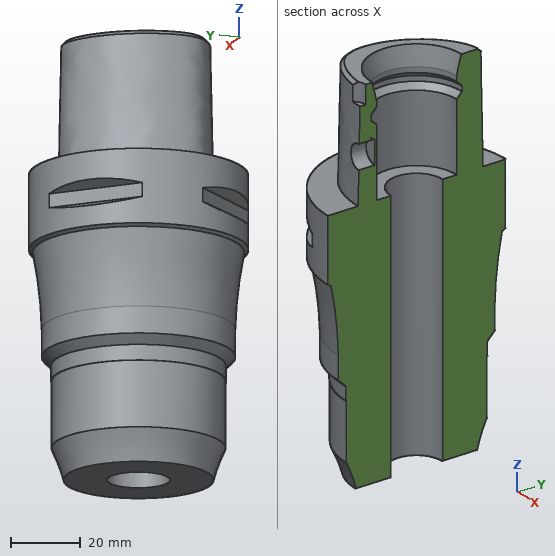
import cadquery as cq
import math

TOTAL_HEIGHT = 128.0
SHANK_HEIGHT = 38.0
NECK_BASE_Z = 44.4
COLLAR_BASE_Z = 36.4
COLLAR_CHAMFER = 2.7
STEP_BASE_Z = 29.0
NOSE_HEIGHT = 9.3
FLANGE_HEIGHT = 22.0
FLANGE_TOP_Z = TOTAL_HEIGHT - SHANK_HEIGHT
FLANGE_BASE_Z = FLANGE_TOP_Z - FLANGE_HEIGHT

FLANGE_RADIUS = 31.5
FLANGE_CHAMFER_WIDTH = 1.2
FLANGE_CHAMFER_HEIGHT = 0.8
COLLAR_RADIUS = 27.8
STEP_RADIUS = COLLAR_RADIUS - COLLAR_CHAMFER
BARREL_RADIUS = 25.0
NOSE_TIP_RADIUS = 21.5
NECK_SAG = 0.5
NOSE_SAG = 0.3

SHANK_RADIUS = 22.1
LOBE_HEIGHT = 1.4
SHANK_TAPER = 1 / 50
TOP_CHAMFER_WIDTH = 1.2
TOP_CHAMFER_HEIGHT = 1.2
OUTLINE_POINTS = 24

MOUTH_RADIUS = 15.7
BORE_RADIUS = 14.1
BORE_DEPTH = SHANK_HEIGHT
THROUGH_RADIUS = 9.1
MOUTH_DEPTH = 6.4
GROOVE_START = 8.3
GROOVE_END = 14.0
GROOVE_DEPTH = 1.9

NOTCH_RADIUS = 4.6
NOTCH_DEEPEST_Y = -18.0
NOTCH_HEIGHT = 6.4
SIDE_HOLE_RADIUS = 4.1
SIDE_HOLE_Z = 105.5
SIDE_HOLE_BOTTOM_Y = -14.8

GRIP_COUNT = 4
GRIP_FLOOR_DISTANCE = 27.8
GRIP_FLOOR_HEIGHT = 4.1
GRIP_Z = 77.8
GRIP_FLANK_ANGLE = 26

CLEARANCE = 6.4


def hollow_arc_middle(lower, upper, sag):
    """Middle point of a rising profile arc that bows towards the axis by the sag."""
    length = math.dist(lower, upper)
    radial = (upper[0] - lower[0]) / length
    axial = (upper[1] - lower[1]) / length
    middle_radius = (lower[0] + upper[0]) / 2
    middle_z = (lower[1] + upper[1]) / 2
    return (middle_radius - sag * axial, middle_z + sag * radial)


def make_body():
    """Revolved flange, hollow-curved neck, collar, barrel and nose."""
    neck_top = (FLANGE_RADIUS - FLANGE_CHAMFER_WIDTH, FLANGE_BASE_Z - FLANGE_CHAMFER_HEIGHT)
    neck_base = (COLLAR_RADIUS, NECK_BASE_Z)
    nose_top = (BARREL_RADIUS, NOSE_HEIGHT)
    nose_tip = (NOSE_TIP_RADIUS, 0)
    return (
        cq.Workplane("XZ")
        .moveTo(0, 0)
        .lineTo(*nose_tip)
        .threePointArc(hollow_arc_middle(nose_tip, nose_top, NOSE_SAG), nose_top)
        .lineTo(BARREL_RADIUS, STEP_BASE_Z)
        .lineTo(STEP_RADIUS, STEP_BASE_Z)
        .lineTo(STEP_RADIUS, COLLAR_BASE_Z - COLLAR_CHAMFER)
        .lineTo(COLLAR_RADIUS, COLLAR_BASE_Z)
        .lineTo(*neck_base)
        .threePointArc(hollow_arc_middle(neck_base, neck_top, NECK_SAG), neck_top)
        .lineTo(FLANGE_RADIUS, FLANGE_BASE_Z)
        .lineTo(FLANGE_RADIUS, FLANGE_TOP_Z)
        .lineTo(0, FLANGE_TOP_Z)
        .close()
        .revolve(360, (0, 0), (0, 1))
    )


def lobed_wire(mean_radius, z):
    """Constant-width three-lobed outline with one lobe towards +Y."""
    points = []
    for i in range(OUTLINE_POINTS):
        angle = 2 * math.pi * i / OUTLINE_POINTS - math.pi / 2
        support = mean_radius - LOBE_HEIGHT * math.sin(3 * angle)
        slope = -3 * LOBE_HEIGHT * math.cos(3 * angle)
        x = support * math.cos(angle) - slope * math.sin(angle)
        y = support * math.sin(angle) + slope * math.cos(angle)
        points.append(cq.Vector(x, y, z))
    return cq.Wire.assembleEdges([cq.Edge.makeSpline(points, periodic=True)])


def make_shank():
    """Tapered lobed shank with a chamfered end."""
    chamfer_z = TOTAL_HEIGHT - TOP_CHAMFER_HEIGHT
    chamfer_radius = SHANK_RADIUS - SHANK_TAPER * (chamfer_z - FLANGE_TOP_Z)
    base = lobed_wire(SHANK_RADIUS, FLANGE_TOP_Z)
    shoulder = lobed_wire(chamfer_radius, chamfer_z)
    end = lobed_wire(chamfer_radius - TOP_CHAMFER_WIDTH, TOTAL_HEIGHT)
    return cq.Workplane(cq.Solid.makeLoft([base, shoulder, end], True))


def make_bore():
    """Tapered mouth, undercut groove, wide bore and narrower through hole."""
    groove_radius = BORE_RADIUS + GROOVE_DEPTH
    steps = [
        (MOUTH_RADIUS, 0),
        (BORE_RADIUS, MOUTH_DEPTH),
        (BORE_RADIUS, GROOVE_START),
        (groove_radius, GROOVE_START + GROOVE_DEPTH),
        (groove_radius, GROOVE_END - GROOVE_DEPTH),
        (BORE_RADIUS, GROOVE_END),
        (BORE_RADIUS, BORE_DEPTH),
        (THROUGH_RADIUS, BORE_DEPTH),
        (THROUGH_RADIUS, TOTAL_HEIGHT),
    ]
    profile = [(radius, TOTAL_HEIGHT - depth) for radius, depth in steps]
    return (
        cq.Workplane("XZ")
        .polyline([(0, TOTAL_HEIGHT)] + profile + [(0, 0)])
        .close()
        .revolve(360, (0, 0), (0, 1))
    )


def make_notch():
    """Round-backed key notch at the shank end."""
    return (
        cq.Workplane("XY", origin=(0, 0, TOTAL_HEIGHT - NOTCH_HEIGHT))
        .center(0, NOTCH_DEEPEST_Y - NOTCH_RADIUS)
        .circle(NOTCH_RADIUS)
        .extrude(NOTCH_HEIGHT)
    )


def make_side_hole():
    """Flat-bottomed blind hole entering from -Y."""
    return (
        cq.Workplane("XZ", origin=(0, SIDE_HOLE_BOTTOM_Y, SIDE_HOLE_Z))
        .circle(SIDE_HOLE_RADIUS)
        .extrude(SHANK_RADIUS)
    )


def make_grip_groove(direction):
    """Straight groove with sloping flanks, facing the given angle about Z."""
    outer_distance = FLANGE_RADIUS + CLEARANCE
    flank_rise = (outer_distance - GRIP_FLOOR_DISTANCE) * math.tan(math.radians(GRIP_FLANK_ANGLE))
    inner_half = GRIP_FLOOR_HEIGHT / 2
    outer_half = inner_half + flank_rise
    return (
        cq.Workplane("XZ")
        .polyline([
            (GRIP_FLOOR_DISTANCE, GRIP_Z - inner_half),
            (outer_distance, GRIP_Z - outer_half),
            (outer_distance, GRIP_Z + outer_half),
            (GRIP_FLOOR_DISTANCE, GRIP_Z + inner_half),
        ])
        .close()
        .extrude(FLANGE_RADIUS, both=True)
        .rotate((0, 0, 0), (0, 0, 1), direction)
    )


result = make_body().union(make_shank())
result = result.cut(make_bore()).cut(make_notch()).cut(make_side_hole())
for grip in range(GRIP_COUNT):
    result = result.cut(make_grip_groove((grip + 0.5) * 360 / GRIP_COUNT))